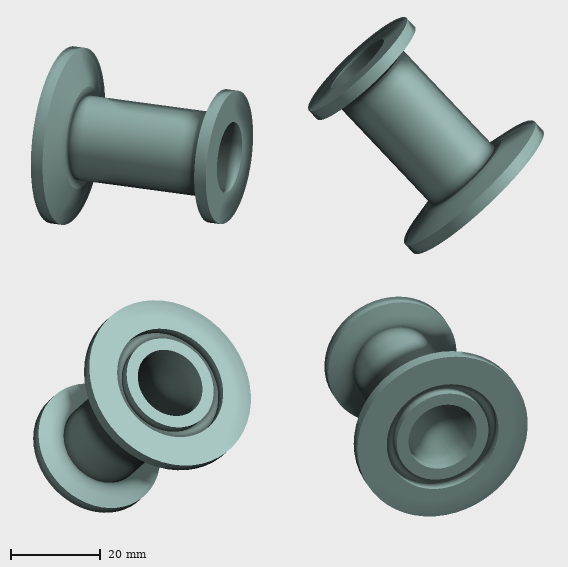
import cadquery as cq
import math

length = 39.88
large_flange_radius = 19.95
small_flange_radius = 15.05
rim_width = 2.8
cone_angle = 15.0

tube_radius = 9.55
bore_radius = 7.98

large_cone_end_radius = 11.53

groove_outer_radius = 13.1
groove_depth = 2.55
groove_inner_radius = 10.73


def cone_width(outer_radius, inner_radius):
    return (outer_radius - inner_radius) * math.tan(math.radians(cone_angle))


def make_body():
    """Revolve the two tapered flanges and the tube joining them."""
    left = -length / 2
    right = length / 2
    left_rim = left + rim_width
    right_rim = right - rim_width
    left_cone_end = left_rim + cone_width(large_flange_radius, large_cone_end_radius)
    right_cone_end = right_rim - cone_width(small_flange_radius, tube_radius)
    profile = (
        cq.Workplane("XY")
        .moveTo(left, bore_radius)
        .lineTo(left, large_flange_radius)
        .lineTo(left_rim, large_flange_radius)
        .lineTo(left_cone_end, large_cone_end_radius)
        .lineTo(left_cone_end, tube_radius)
        .lineTo(right_cone_end, tube_radius)
        .lineTo(right_rim, small_flange_radius)
        .lineTo(right, small_flange_radius)
        .lineTo(right, bore_radius)
        .close()
    )
    return profile.revolve(360, (0, 0, 0), (1, 0, 0))


def make_groove_cut():
    """Ring-shaped cut that leaves the bore wall flush with the face."""
    face = cq.Workplane("YZ", origin=(-length / 2, 0, 0))
    return face.circle(groove_outer_radius).circle(groove_inner_radius).extrude(groove_depth)


result = make_body().cut(make_groove_cut())